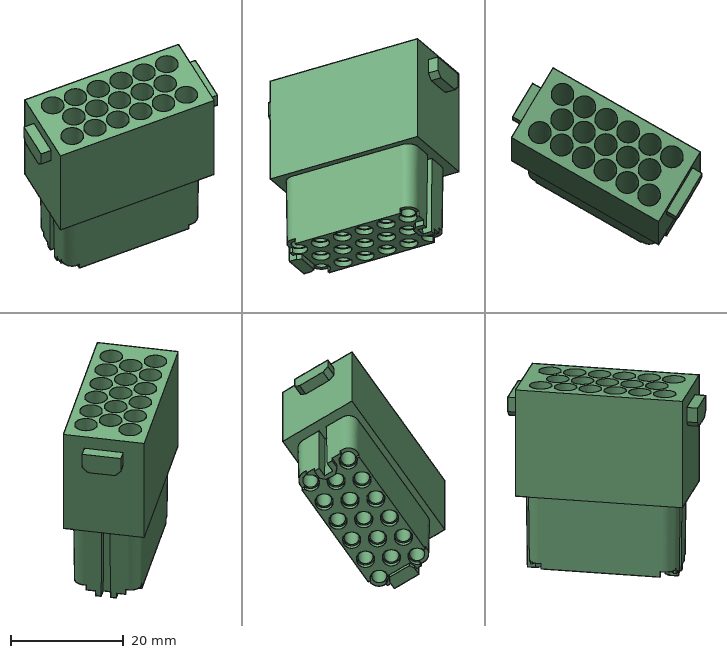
import cadquery as cq
import math

HOUSING_X = 14.65
HOUSING_Y = 30.25
HOUSING_HEIGHT = 19.98

TAB_REACH = 2.0
TAB_TOP_DROP = 2.45
TAB_HEIGHT = 3.75
TAB_CHAMFER = 1.05
FRONT_TAB_WIDTH = 7.03
BACK_TAB_WIDTH = 9.12

TOTAL_HEIGHT = 34.8
PLUG_X = 12.4
PLUG_Y = 26.75
PLUG_CORNER_RADIUS = 2.1
PLUG_DRAFT = 0.7
FOOT_HEIGHT = 1.0
PLUG_LENGTH = TOTAL_HEIGHT - HOUSING_HEIGHT
FOOT_TOP_Z = FOOT_HEIGHT - TOTAL_HEIGHT

FRONT_FOOT_DEPTH = 2.75
BACK_FOOT_DEPTH = 1.77
FOOT_CHAMFER_Y = 0.9
FRONT_FOOT_CHAMFER_X = 0.9
BACK_FOOT_CHAMFER_X = 0.45
FRONT_FOOT_WIDTH = 3.75
BACK_FOOT_WIDTH = 5.2

GROOVE_TOP_WIDTH = 1.5
GROOVE_BOTTOM_WIDTH = 1.7
GROOVE_DEPTH = 1.95
RIB_WIDTH = BACK_FOOT_WIDTH
RIB_REACH = 0.75

COLUMN_PITCH = 4.0
ROW_PITCH = 4.5
OUTER_ROWS = 6
MIDDLE_ROWS = 5
BORE_DIAMETER = 3.95
NECK_DIAMETER = 2.68
CONE_ANGLE = 60.0
SOCKET_DIAMETER = 3.2
SOCKET_DEPTH = 1.0

WINDOW_SIZE = 2.45
WINDOW_HEIGHT = 1.0


def box(x_range, y_range, z_range):
    """Axis-aligned box between the given limits."""
    size = [high - low for low, high in (x_range, y_range, z_range)]
    corner = (x_range[0], y_range[0], z_range[0])
    return cq.Workplane("XY").box(*size, centered=False).translate(corner)


def make_housing():
    return cq.Workplane("XY").rect(HOUSING_X, HOUSING_Y).extrude(-HOUSING_HEIGHT)


def make_tab(width, side):
    """Latch tab with chamfered lower corners; side is -1 for -Y and +1 for +Y."""
    top = -TAB_TOP_DROP
    bottom = top - TAB_HEIGHT
    half = width / 2
    outline = [
        (-half, top),
        (half, top),
        (half, bottom + TAB_CHAMFER),
        (half - TAB_CHAMFER, bottom),
        (-half + TAB_CHAMFER, bottom),
        (-half, bottom + TAB_CHAMFER),
    ]
    face = cq.Workplane("XZ", origin=(0, side * HOUSING_Y / 2, 0))
    return face.polyline(outline).close().extrude(-side * TAB_REACH)


def make_plug():
    """Drafted plug with rounded corners, down to the foot level."""
    top = cq.Workplane("XY", origin=(0, 0, -HOUSING_HEIGHT))
    outline = cq.Sketch().rect(PLUG_X, PLUG_Y).vertices().fillet(PLUG_CORNER_RADIUS)
    return top.placeSketch(outline).extrude(-PLUG_LENGTH, taper=PLUG_DRAFT)


def make_rib():
    """Keying rib as wide as the back foot, with a drafted outer face."""
    root_y = PLUG_Y / 2 - RIB_REACH
    outer_y = PLUG_Y / 2 + RIB_REACH
    draft_inset = PLUG_LENGTH * math.tan(math.radians(PLUG_DRAFT))
    outline = [
        (root_y, -HOUSING_HEIGHT),
        (outer_y, -HOUSING_HEIGHT),
        (outer_y - draft_inset, -TOTAL_HEIGHT),
        (root_y, -TOTAL_HEIGHT),
    ]
    return cq.Workplane("YZ").polyline(outline).close().extrude(RIB_WIDTH / 2, both=True)


def make_foot_prism(width, depth, chamfer_x, side):
    """Plan area kept below the foot level, chamfered on its inward corners."""
    inner_y = PLUG_Y / 2 - depth
    half = width / 2
    outline = [
        (-half, side * HOUSING_Y / 2),
        (half, side * HOUSING_Y / 2),
        (half, side * (inner_y + FOOT_CHAMFER_Y)),
        (half - chamfer_x, side * inner_y),
        (-half + chamfer_x, side * inner_y),
        (-half, side * (inner_y + FOOT_CHAMFER_Y)),
    ]
    base = cq.Workplane("XY", origin=(0, 0, -TOTAL_HEIGHT))
    return base.polyline(outline).close().extrude(FOOT_HEIGHT)


def make_foot_relief():
    """Everything removed between the two feet."""
    relief = box(
        (-HOUSING_X / 2, HOUSING_X / 2),
        (-HOUSING_Y / 2, HOUSING_Y / 2),
        (-TOTAL_HEIGHT, FOOT_TOP_Z),
    )
    relief = relief.cut(make_foot_prism(FRONT_FOOT_WIDTH, FRONT_FOOT_DEPTH, FRONT_FOOT_CHAMFER_X, -1))
    return relief.cut(make_foot_prism(BACK_FOOT_WIDTH, BACK_FOOT_DEPTH, BACK_FOOT_CHAMFER_X, 1))


def make_groove():
    """Keying groove that widens slightly towards the lower end."""
    outline = [
        (-GROOVE_TOP_WIDTH / 2, -HOUSING_HEIGHT),
        (GROOVE_TOP_WIDTH / 2, -HOUSING_HEIGHT),
        (GROOVE_BOTTOM_WIDTH / 2, -TOTAL_HEIGHT),
        (-GROOVE_BOTTOM_WIDTH / 2, -TOTAL_HEIGHT),
    ]
    face = cq.Workplane("XZ", origin=(0, -PLUG_Y / 2, 0))
    return face.polyline(outline).close().extrude(-GROOVE_DEPTH)


def hole_positions():
    columns = [(-COLUMN_PITCH, OUTER_ROWS), (0, MIDDLE_ROWS), (COLUMN_PITCH, OUTER_ROWS)]
    return [
        (x, (row - (rows - 1) / 2) * ROW_PITCH)
        for x, rows in columns
        for row in range(rows)
    ]


def make_hole():
    """Revolved contact hole: wide bore, cone down to the neck, shallow socket at the lower end."""
    bore = BORE_DIAMETER / 2
    neck = NECK_DIAMETER / 2
    socket = SOCKET_DIAMETER / 2
    cone_height = (bore - neck) / math.tan(math.radians(CONE_ANGLE))
    socket_top = FOOT_TOP_Z + SOCKET_DEPTH
    profile = [
        (0, 0),
        (bore, 0),
        (bore, -HOUSING_HEIGHT + cone_height),
        (neck, -HOUSING_HEIGHT),
        (neck, socket_top),
        (socket, socket_top),
        (socket, FOOT_TOP_Z),
        (0, FOOT_TOP_Z),
    ]
    return cq.Workplane("XZ").polyline(profile).close().revolve(360, (0, 0, 0), (0, 1, 0))


def make_corner_windows():
    """Blocks removed at the four lower corners of the plug, sized from the drafted faces."""
    draft_inset = (PLUG_LENGTH - FOOT_HEIGHT) * math.tan(math.radians(PLUG_DRAFT))
    inner_x = PLUG_X / 2 - draft_inset - WINDOW_SIZE
    inner_y = PLUG_Y / 2 - draft_inset - WINDOW_SIZE
    window = box(
        (inner_x, HOUSING_X / 2),
        (inner_y, HOUSING_Y / 2),
        (FOOT_TOP_Z, FOOT_TOP_Z + WINDOW_HEIGHT),
    )
    windows = window.union(window.mirror("YZ"))
    return windows.union(windows.mirror("XZ"))


result = make_housing()
result = result.union(make_tab(FRONT_TAB_WIDTH, -1))
result = result.union(make_tab(BACK_TAB_WIDTH, 1))
result = result.union(make_plug())
result = result.union(make_rib())
result = result.cut(make_foot_relief())
result = result.cut(make_groove())
result = result.cut(make_corner_windows())
hole = make_hole()
for hole_x, hole_y in hole_positions():
    result = result.cut(hole.translate((hole_x, hole_y, 0)))